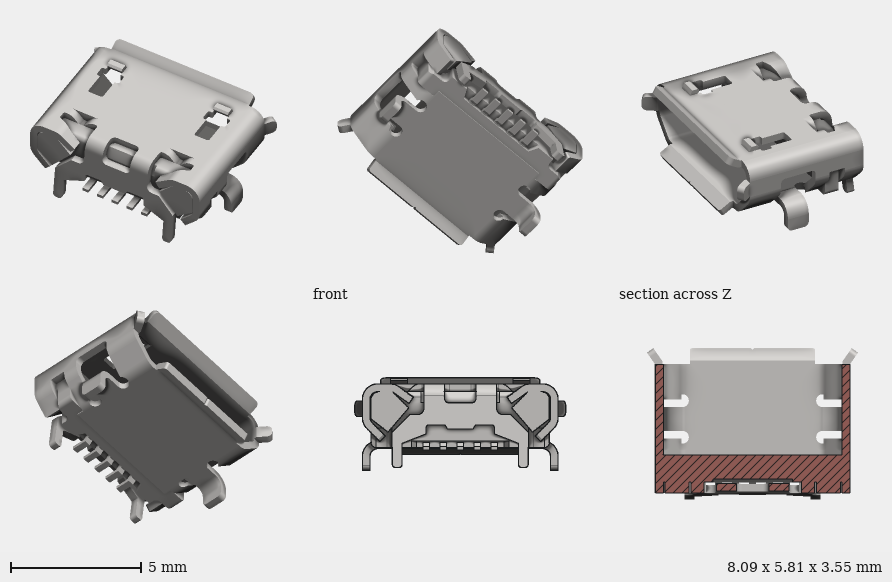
import cadquery as cq
import math


sheet = 0.30
shell_half = 3.755
shell_height = 2.485
shell_length = 4.955
shell_radius = 0.60
bottom_corner = 2.81
shell_inner_top = shell_height - sheet

lip_length = 0.47
lip_angle = 29.5
lip_start = shell_length + 0.05
lip_radius = 0.20
top_lip_width = 6.10
bottom_lip_width = 2.40
bottom_lip_radius = 0.10
side_lip_length = 0.506
side_lip_angle = 35
side_lip_start = shell_length + 0.016
side_lip_width = 0.605
side_lip_z = 1.53

leg_y = 2.845
leg_width = 0.91
leg_bottom = -0.835
leg_radius = 0.19
leg_bend_z = sheet - shell_radius
window_length = 1.51
window_top = 1.58
window_radius = 0.18
relief_radius = 0.245
relief_x = 2.685
relief_top = 0.35

slot_x = 2.355
slot_width = 0.65
slot_y0 = 2.53
slot_y1 = 4.40
cross_width = 0.99
cross_y0 = 3.48
cross_y1 = 3.93
slot_radius = 0.08
catch_height = 0.20
catch_root_y = 4.47
catch_slope_y = 4.41
catch_top_y0 = 4.07
catch_top_y1 = 4.30
catch_nose_y = 3.99
catch_nose_drop = 0.07
catch_under_y0 = 4.12
catch_under_y1 = 4.25

strip_half = 1.39
opening_y = 1.095
opening_x = 2.89
opening_side_y = 0.77
ear_corner_x = 2.515
ear_tip_x = 1.79
ear_angle = 35
ear_bend = 0.54
ear_edge = [(1.70, 0.39), (2.22, 0.49), (opening_x, opening_side_y)]
ear_gap_y = 0.70
dent_x = 2.135
dent_half = 0.61
dent_radius = 0.44
dent_floor_half = 0.065
dent_y = 1.43

rear_lean = 7
rear_bend_y = 0.61
rear_bend = 0.52
post_outer = 2.607
post_inner = 2.224
post_bottom = -0.73
post_outer_top = 0.63
post_inner_top = 0.206
post_radius = 0.13
shoulder_z = 1.30
shoulder_radius = 0.26
arch_half = 1.306
arch_side_z = 0.566
arch_top = 0.908
arch_radius = 0.10
tab_root_half = 0.58
tab_half = 0.49
tab_bottom = 0.754
tab_radius = 0.08
rear_limit = -1.0
rear_slot_half = 0.61
rear_slot_y = 0.90
rear_slot_z = 1.75
rear_slot_radius = 0.20

tail_y = 0.80
tail_end_sum = 3.35
tail_radius = 0.08
tail_apex = 1.15
notch_y = 1.49
notch_top = 1.30
notch_radius = 0.06
notch_inner_x = 2.61
bottom_plate_y = 1.20

housing_y0 = 0.42
housing_top_radius = 0.20
foot_bottom = 0.04
block_x = 3.42
block_radius = 0.20
block_chamfer_x = 0.20
block_chamfer_y = 0.10
waist_top = 0.80
wing_point = (1.976, 1.56)
wing_top_x0 = 2.60
wing_top_x1 = 3.10
wing_round = 0.32
wing_side_bottom = 1.14
wing_foot = (2.77, 0.63)
bend_clearance_half = 1.51
bend_clearance_z = 1.77
pocket_half_rear = 1.86
pocket_half_front = 1.67
pocket_y = 0.80
pocket_top = 0.286

pin_count = 5
pin_pitch = 0.65
pin_width = 0.26
pin_thick = 0.14
pin_bottom = -0.05
pin_tip_y = -0.02
pin_step_y = 0.60
pin_step_run = 0.13
pin_step_lead = 0.08

margin = 0.1


def block(x0, x1, y0, y1, z0, z1):
    return cq.Workplane("XY").box(x1 - x0, y1 - y0, z1 - z0, centered=False).translate((x0, y0, z0))


def along_y(outline, y0, y1):
    """Extrude an XZ outline from y0 to y1."""
    return outline.extrude(y0 - y1).translate((0, y0, 0))


def xz_polygon(points):
    return cq.Workplane("XZ").polyline(points).close()


def both_sides(body):
    return body.union(body.mirror("YZ"))


def shell_body(inset, y0, y1):
    """Solid with the shell's section, moved inward by inset."""
    half = shell_half - inset
    top = shell_height - inset
    flank = bottom_corner - inset * math.sqrt(2)
    points = [(flank + inset, inset), (half, half - flank), (half, top)]
    points += [(-x, z) for x, z in reversed(points)]
    return along_y(xz_polygon(points), y0, y1).edges("|Y").fillet(shell_radius - inset)


def lip(start, length, angle, width, radius):
    """Lip bent outward (up) from a plate whose outer face is Z = 0."""
    a = math.radians(angle)
    tip = (start + length * math.cos(a), length * math.sin(a))
    tip_inner = (tip[0] + sheet * math.sin(a), tip[1] - sheet * math.cos(a))
    root_inner = start + sheet * math.tan(a / 2)
    back = shell_length - margin
    points = [(back, 0), (start, 0), tip, tip_inner, (root_inner, -sheet), (back, -sheet)]
    body = cq.Workplane("YZ").polyline(points).close().extrude(width / 2, both=True)
    thickness = cq.Vector(0, math.sin(a), -math.cos(a))
    return body.edges(cq.selectors.ParallelDirSelector(thickness)).fillet(radius)


def mouth_lips():
    top = lip(lip_start, lip_length, lip_angle, top_lip_width, lip_radius)
    bottom = lip(lip_start, lip_length, lip_angle, bottom_lip_width, bottom_lip_radius)
    bottom = bottom.mirror("XY").translate((bottom_lip_width / 2, 0, 0))
    side = lip(side_lip_start, side_lip_length, side_lip_angle, side_lip_width, lip_radius)
    side = side.rotate((0, 0, 0), (0, 1, 0), 90).translate((shell_half, 0, side_lip_z))
    return top.translate((0, 0, shell_height)).union(both_sides(bottom)).union(both_sides(side))


def window_cutter():
    """Side window with the two relief notches that free the leg from the bottom plate."""
    y0 = leg_y - window_length / 2
    window = block(relief_x, shell_half + margin, y0, y0 + window_length, -margin, window_top)
    window = window.edges("|X and >Z").fillet(window_radius)
    for side in (-1, 1):
        y = leg_y + side * (leg_width / 2 + relief_radius)
        relief = cq.Workplane("XY").circle(relief_radius).extrude(relief_top + margin)
        window = window.union(relief.translate((relief_x, y, -margin)))
    return both_sides(window)


def leg():
    """Leg that leaves the bottom plate sideways and bends down."""
    bend_x = shell_half - shell_radius
    leg_root_x = relief_x - relief_radius - margin
    inner = shell_radius - sheet
    diag = math.sqrt(0.5)
    outline = (
        cq.Workplane("XZ")
        .moveTo(leg_root_x, 0)
        .lineTo(leg_root_x, sheet)
        .lineTo(bend_x, sheet)
        .threePointArc((bend_x + shell_radius * diag, leg_bend_z + shell_radius * diag),
                       (shell_half, leg_bend_z))
        .lineTo(shell_half, leg_bottom)
        .lineTo(shell_half - sheet, leg_bottom)
        .lineTo(shell_half - sheet, leg_bend_z)
        .threePointArc((bend_x + inner * diag, leg_bend_z + inner * diag), (bend_x, 0))
        .close()
    )
    body = along_y(outline, leg_y - leg_width / 2, leg_y + leg_width / 2)
    return both_sides(body.faces("<Z").edges("|X").fillet(leg_radius))


def catch_slot_cutter():
    stem = block(slot_x - slot_width / 2, slot_x + slot_width / 2, slot_y0, slot_y1,
                 shell_inner_top - margin, shell_height + margin)
    cross = block(slot_x - cross_width / 2, slot_x + cross_width / 2, cross_y0, cross_y1,
                  shell_inner_top - margin, shell_height + margin)
    stem = stem.edges("|Z and <Y").fillet(slot_radius)
    return both_sides(stem.union(cross.edges("|Z").fillet(slot_radius)))


def spring_catch():
    """Raised end of the spring in each slot."""
    top = shell_height + catch_height
    outline = [
        (catch_root_y, shell_height),
        (catch_slope_y, shell_height),
        (catch_top_y1, top),
        (catch_top_y0, top),
        (catch_nose_y, top - catch_nose_drop),
        (catch_under_y0, top - sheet),
        (catch_under_y1, top - sheet),
        (slot_y1, shell_inner_top),
        (catch_root_y, shell_inner_top),
    ]
    body = cq.Workplane("YZ").polyline(outline).close().extrude(slot_width / 2, both=True)
    return both_sides(body.translate((slot_x, 0, 0)))


def rear_opening_cutter():
    """Openings in the top plate beside the rear strip, and the area taken up by ears and bend."""
    points = [(0, -margin), (0, rear_bend_y), (strip_half, rear_bend_y), (strip_half, opening_y),
              (opening_x, opening_y), (opening_x, opening_side_y), (ear_corner_x + sheet, ear_gap_y),
              (ear_corner_x + sheet, -margin)]
    body = cq.Workplane("XY").polyline(points).close().extrude(shell_height)
    body = body.edges("|Z and >Y").fillet(slot_radius)
    return both_sides(body.translate((0, 0, shell_inner_top - sheet)))


def ear():
    """Flap of the top plate bent down over the rear of the housing."""
    a = math.radians(ear_angle)
    tip = (ear_tip_x, shell_height - (ear_corner_x - ear_tip_x) * math.tan(a))
    tip_inner = (tip[0] + sheet * math.sin(a), tip[1] - sheet * math.cos(a))
    inner_x = ear_corner_x + sheet * math.tan(a / 2)
    points = [(opening_x, shell_height), (ear_corner_x, shell_height), tip, tip_inner,
              (inner_x, shell_inner_top), (opening_x, shell_inner_top)]
    body = along_y(xz_polygon(points), 0, opening_side_y)
    upper_bend = cq.selectors.NearestToPointSelector((ear_corner_x, opening_side_y / 2, shell_height))
    body = body.edges(upper_bend).fillet(ear_bend)
    plan = [(opening_x, 0), (ear_edge[0][0], 0)] + ear_edge
    limit = cq.Workplane("XY").polyline(plan).close().extrude(shell_height)
    return both_sides(body.intersect(limit))


def dent_outline(inset):
    """Closed outline of the V-shaped dent, moved inset below the top face."""
    diag = math.sqrt(0.5)
    mid = math.radians(22.5)
    top = shell_height - inset
    radius = dent_radius
    arc_end_x = dent_half - radius * diag
    arc_end_z = top - radius * (1 - diag)
    floor_z = arc_end_z - (arc_end_x - dent_floor_half)
    mid_x = dent_half - radius * math.sin(mid)
    mid_z = top - radius * (1 - math.cos(mid))
    return (
        cq.Workplane("XZ")
        .moveTo(-dent_half, top)
        .threePointArc((-mid_x, mid_z), (-arc_end_x, arc_end_z))
        .lineTo(-dent_floor_half, floor_z)
        .lineTo(dent_floor_half, floor_z)
        .lineTo(arc_end_x, arc_end_z)
        .threePointArc((mid_x, mid_z), (dent_half, top))
        .close()
    )


def dent(inset):
    body = along_y(dent_outline(inset), opening_y, dent_y)
    return both_sides(body.translate((dent_x, 0, 0)))


def rear_plate():
    """Strip of the top plate bent down behind the housing, ending in two posts."""
    lean = math.radians(rear_lean)
    mid = math.radians((90 + rear_lean) / 2)
    centre_z = shell_height - rear_bend

    def bend_point(radius, angle):
        return (rear_bend_y - radius * math.cos(angle), centre_z + radius * math.sin(angle))

    def foot_point(radius):
        y, z = bend_point(radius, lean)
        return (y - (z - post_bottom) * math.tan(lean), post_bottom)

    inner = rear_bend - sheet
    root_y = rear_bend_y + margin
    profile = (
        cq.Workplane("YZ")
        .moveTo(root_y, shell_height)
        .lineTo(rear_bend_y, shell_height)
        .threePointArc(bend_point(rear_bend, mid), bend_point(rear_bend, lean))
        .lineTo(*foot_point(rear_bend))
        .lineTo(*foot_point(inner))
        .lineTo(*bend_point(inner, lean))
        .threePointArc(bend_point(inner, mid), (rear_bend_y, shell_inner_top))
        .lineTo(root_y, shell_inner_top)
        .close()
    )
    bent = profile.extrude(post_outer, both=True)
    slope_x = post_outer - (shoulder_z - post_outer_top)
    points = [
        (0, shell_height),
        (strip_half, shell_height),
        (strip_half, shoulder_z),
        (slope_x, shoulder_z),
        (post_outer, post_outer_top),
        (post_outer, post_bottom),
        (post_inner, post_bottom),
        (post_inner, post_inner_top),
        (arch_half, arch_side_z),
        (arch_half, arch_top),
        (tab_root_half, arch_top),
        (tab_half, tab_bottom),
        (0, tab_bottom),
    ]
    face = along_y(xz_polygon(points), rear_limit, root_y)
    face = face.faces("<Z").edges("|Y").fillet(post_radius)
    corners = [
        (strip_half, shoulder_z, shoulder_radius),
        (arch_half, arch_top, arch_radius),
        (tab_root_half, arch_top, tab_radius),
    ]
    for x, z, radius in corners:
        corner = cq.selectors.NearestToPointSelector((x, (root_y + rear_limit) / 2, z))
        face = face.edges(corner).fillet(radius)
    return bent.intersect(both_sides(face))


def rear_slot_cutter():
    """Slot that runs over the bend between the top plate and the rear plate."""
    h = rear_slot_half
    top_part = block(-h, h, housing_y0, rear_slot_y, shell_inner_top - sheet, shell_height + margin)
    rear_part = block(-h, h, rear_limit, rear_bend_y, rear_slot_z, shell_height + margin)
    top_part = top_part.edges("|Z and >Y").fillet(rear_slot_radius)
    return top_part.union(rear_part.edges("|Y and <Z").fillet(rear_slot_radius))


def lower_rear_cutter():
    """Frees the flanks at the rear, the side notches and the rear of the bottom plate."""
    half = [(0, -margin), (tail_end_sum + margin, -margin), (tail_end_sum - tail_apex, tail_apex),
            (0, tail_apex)]
    flanks = along_y(xz_polygon(half), -margin, tail_y)
    notch = block(notch_inner_x, shell_half + margin, tail_y, notch_y, -margin, notch_top)
    notch = notch.edges("|X and >Z").fillet(notch_radius)
    bottom = block(0, notch_inner_x, -margin, bottom_plate_y, -margin, sheet)
    return both_sides(flanks.union(notch).union(bottom))


def round_tails(body):
    """Round the rear edge of the square end of both flanks."""
    for side in (-1, 1):
        end_middle_x = (tail_end_sum + bottom_corner - sheet / math.sqrt(2)) / 2
        end_middle = (side * end_middle_x, 0, tail_end_sum - end_middle_x)
        body = body.edges(cq.selectors.NearestToPointSelector(end_middle)).fillet(tail_radius)
    return body


def foot():
    """Lower rear of the housing, widening into the blocks that fill the side notches."""
    inner = notch_inner_x
    arc_mid = block_radius * (1 - math.sqrt(0.5))
    plan = (
        cq.Workplane("XY")
        .moveTo(0, housing_y0)
        .lineTo(inner, housing_y0)
        .lineTo(inner, tail_y - block_radius)
        .threePointArc((inner + arc_mid, tail_y - arc_mid), (inner + block_radius, tail_y))
        .lineTo(block_x - block_chamfer_x, tail_y)
        .lineTo(block_x, tail_y + block_chamfer_y)
        .lineTo(block_x, notch_y)
        .lineTo(0, notch_y)
        .close()
    )
    envelope = block(0, block_x, housing_y0, notch_y, foot_bottom, notch_top)
    envelope = envelope.edges("|Y and >X and <Z").fillet(block_radius)
    return both_sides(plan.extrude(notch_top).intersect(envelope))


def housing():
    core = shell_body(sheet, housing_y0, notch_y)
    envelope = block(-block_x, block_x, housing_y0, notch_y, 0, shell_inner_top)
    core = core.intersect(envelope.edges("<Y and >Z").fillet(housing_top_radius))
    core = core.cut(both_sides(block(notch_inner_x, block_x, 0, tail_y, 0, waist_top)))
    core = core.union(foot())
    bevel_y = housing_y0 + housing_top_radius
    bevel = [(0, bend_clearance_z), (housing_y0, bend_clearance_z), (bevel_y, shell_inner_top),
             (0, shell_inner_top)]
    core = core.cut(cq.Workplane("YZ").polyline(bevel).close().extrude(bend_clearance_half, both=True))
    pocket = [(-pocket_half_rear, housing_y0), (pocket_half_rear, housing_y0),
              (pocket_half_front, pocket_y), (-pocket_half_front, pocket_y)]
    return core.cut(cq.Workplane("XY").polyline(pocket).close().extrude(pocket_top))


def wing():
    """Part of the housing that fills each rear corner of the shell, clear of its side wall."""
    top = shell_inner_top
    diag = math.sqrt(0.5)
    round_mid = (wing_top_x1 + (block_x - wing_top_x1) * diag, top - wing_round * (1 - diag))
    outline = (
        cq.Workplane("XZ")
        .moveTo(*wing_point)
        .lineTo(wing_top_x0, top)
        .lineTo(wing_top_x1, top)
        .threePointArc(round_mid, (block_x, top - wing_round))
        .lineTo(block_x, wing_side_bottom)
        .lineTo(*wing_foot)
        .close()
    )
    return both_sides(along_y(outline, 0, housing_y0 + margin))


def pin(x):
    top = pin_bottom + pin_thick
    root_y = pocket_y + margin
    upper_y = pin_step_y - pin_step_lead
    points = [
        (pin_tip_y, pin_bottom),
        (pin_step_y, pin_bottom),
        (pin_step_y + pin_step_run, top),
        (root_y, top),
        (root_y, top + pin_thick),
        (upper_y + pin_step_run, top + pin_thick),
        (upper_y, top),
        (pin_tip_y, top),
    ]
    body = cq.Workplane("YZ").polyline(points).close().extrude(pin_width / 2, both=True)
    return body.translate((x, 0, 0))


shell = shell_body(0, 0, shell_length).cut(shell_body(sheet, -margin, shell_length + margin))
shell = shell.cut(window_cutter()).cut(catch_slot_cutter()).cut(rear_opening_cutter())
shell = round_tails(shell.cut(lower_rear_cutter()))
shell = shell.union(dent(sheet)).cut(dent(0))
shell = shell.union(rear_plate()).cut(rear_slot_cutter())
shell = shell.union(ear()).union(leg()).union(spring_catch()).union(mouth_lips())

insulator = housing().cut(dent(0)).union(wing())
for index in range(pin_count):
    insulator = insulator.union(pin((index - (pin_count - 1) / 2) * pin_pitch))

result = shell.union(insulator)